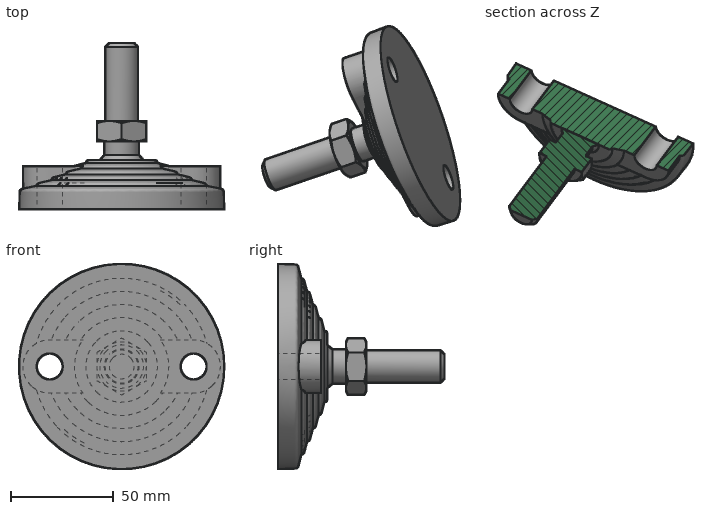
import cadquery as cq
import math


base_radius = 50.0
rim_top_radius = 49.7
rim_fillet = 1.8
base_height = 24.0

step_count = 5
step_pitch = 6.4
step_drop = 2.8
round_width = 1.5
round_drop = 1.4
crown_radius = 15.9
slope_angle = math.radians(15)

hole_spacing = 70.0
hole_diameter = 12.5
boss_width = 26.0
boss_height = 21.0

neck_diameter = 17.0
flare_width = 2.1
flare_height = 2.4
hex_flats = 24.0
hex_bottom = 33.0
hex_height = 10.0
hex_bevel_angle = math.radians(30)
rod_diameter = 16.0
rod_chamfer = 2.0
total_height = 81.0


def extrude_from(y):
    """Workplane whose normal is +Y; its local X is the part's X."""
    return cq.Workplane(cq.Plane(origin=(0, y, 0), xDir=(1, 0, 0), normal=(0, 1, 0)))


def revolve_about_y(profile):
    return profile.close().revolve(360, (0, 0, 0), (0, 1, 0))


def make_base():
    profile = (
        cq.Workplane("XY")
        .lineTo(0, base_height)
        .lineTo(crown_radius, base_height)
    )
    for step in range(step_count):
        edge_radius = crown_radius + round_width + step * step_pitch
        edge_height = base_height - round_drop - step * step_drop
        profile = profile.tangentArcPoint((edge_radius, edge_height), relative=False)
        is_last = step == step_count - 1
        tread_end_radius = rim_top_radius if is_last else edge_radius + step_pitch - round_width
        tread_end_height = edge_height - (tread_end_radius - edge_radius) * math.tan(slope_angle)
        profile = profile.lineTo(tread_end_radius, tread_end_height)
    profile = profile.lineTo(base_radius, 0)
    disc = revolve_about_y(profile)
    rim_edge = cq.selectors.RadiusNthSelector(-2)
    disc = disc.edges(rim_edge).fillet(rim_fillet)

    bosses = extrude_from(0).slot2D(hole_spacing + boss_width, boss_width).extrude(boss_height)
    holes = (
        extrude_from(0)
        .pushPoints([(-hole_spacing / 2, 0), (hole_spacing / 2, 0)])
        .circle(hole_diameter / 2)
        .extrude(base_height)
    )
    return disc.union(bosses).cut(holes)


def make_hex():
    """Hexagon with flats facing X and corners bevelled at both ends."""
    corner_radius = hex_flats / math.sqrt(3)
    flat_radius = hex_flats / 2
    bevel_height = (corner_radius - flat_radius) * math.tan(hex_bevel_angle)
    hex_top = hex_bottom + hex_height
    prism = (
        extrude_from(hex_bottom)
        .transformed(rotate=(0, 0, 90))
        .polygon(6, 2 * corner_radius)
        .extrude(hex_height)
    )
    bevel_envelope = revolve_about_y(
        cq.Workplane("XY")
        .moveTo(0, hex_bottom)
        .lineTo(flat_radius, hex_bottom)
        .lineTo(corner_radius, hex_bottom + bevel_height)
        .lineTo(corner_radius, hex_top - bevel_height)
        .lineTo(flat_radius, hex_top)
        .lineTo(0, hex_top)
    )
    return prism.intersect(bevel_envelope)


def make_spindle():
    """Spindle standing on the flat crown of the base, with its hexagon."""
    neck_radius = neck_diameter / 2
    rod_radius = rod_diameter / 2
    shaft = revolve_about_y(
        cq.Workplane("XY")
        .moveTo(0, base_height)
        .lineTo(neck_radius + flare_width, base_height)
        .lineTo(neck_radius, base_height + flare_height)
        .lineTo(neck_radius, hex_bottom)
        .lineTo(rod_radius, hex_bottom)
        .lineTo(rod_radius, total_height - rod_chamfer)
        .lineTo(rod_radius - rod_chamfer, total_height)
        .lineTo(0, total_height)
    )
    return shaft.union(make_hex())


base = make_base()
spindle = make_spindle()
result = cq.Compound.makeCompound([base.solids().val(), spindle.solids().val()])